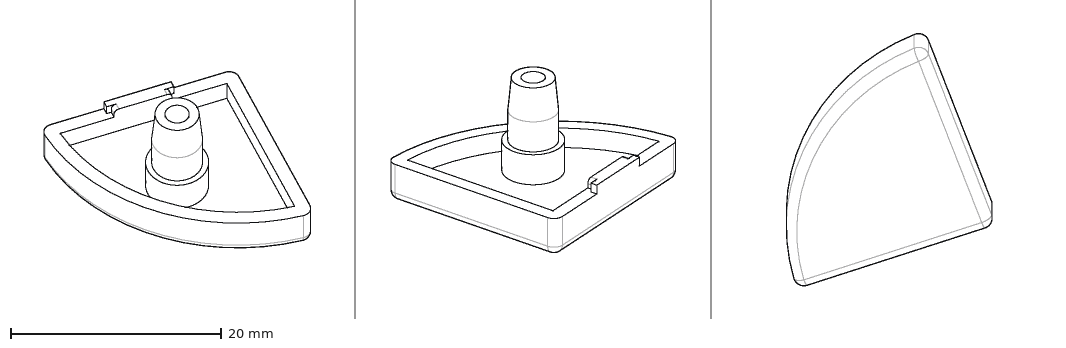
import cadquery as cq
import math

LEG_LENGTH = 20.0
ARC_CENTER_OFFSET = 0.5
OUTER_RADIUS = math.hypot(LEG_LENGTH + ARC_CENTER_OFFSET, ARC_CENTER_OFFSET)
WALL = 1.4
RIM_HEIGHT = 4.1
FLOOR_THICKNESS = 2.0
EDGE_RADIUS = 1.0
CORNER_X = -LEG_LENGTH / 2
CORNER_Y = LEG_LENGTH / 2

COLLAR_RADIUS = 3.0
COLLAR_TOP = 5.25
POST_RADIUS = 2.425
TAPER_START = 8.5
TIP_RADIUS = 2.1
POST_TOP = 12.0
BORE_RADIUS = 1.15

TAB_HEIGHT = 0.95
TAB_LENGTH = 6.9
TAB_THICKNESS = WALL / 2
TAB_STEP_LENGTH = 5.95
TAB_STEP_RADIUS = 0.5


def quarter_round(inset, bottom, top):
    """Quarter disc prism whose three sides are moved inward by inset."""
    radius = OUTER_RADIUS - inset
    reach = math.sqrt(radius**2 - (ARC_CENTER_OFFSET + inset) ** 2) - ARC_CENTER_OFFSET
    middle = radius * math.sqrt(0.5) - ARC_CENTER_OFFSET
    return (
        cq.Workplane("XY", origin=(CORNER_X, CORNER_Y, bottom))
        .moveTo(inset, -inset)
        .lineTo(reach, -inset)
        .threePointArc((middle, -middle), (inset, -reach))
        .close()
        .extrude(top - bottom)
    )


def make_tray():
    body = quarter_round(0, 0, RIM_HEIGHT)
    body = body.edges("|Z").fillet(EDGE_RADIUS)
    body = body.faces("<Z").edges().fillet(EDGE_RADIUS)
    return body.cut(quarter_round(WALL, FLOOR_THICKNESS, RIM_HEIGHT))


def make_post():
    """Collar, straight shank and tapered tip as one revolved profile."""
    return (
        cq.Workplane("XZ")
        .moveTo(0, FLOOR_THICKNESS)
        .lineTo(COLLAR_RADIUS, FLOOR_THICKNESS)
        .lineTo(COLLAR_RADIUS, COLLAR_TOP)
        .lineTo(POST_RADIUS, COLLAR_TOP)
        .lineTo(POST_RADIUS, TAPER_START)
        .lineTo(TIP_RADIUS, POST_TOP)
        .lineTo(0, POST_TOP)
        .close()
        .revolve(360, (0, 0, 0), (0, 1, 0))
    )


def make_bore():
    """Blind bore from the tip of the post down to floor level."""
    depth = POST_TOP - FLOOR_THICKNESS
    return cq.Workplane("XY", origin=(0, 0, FLOOR_THICKNESS)).circle(BORE_RADIUS).extrude(depth)


def make_tab():
    """Long outer strip flush with the wall, and a shorter inner strip with rounded ends."""
    centered_along_y = (False, True, False)
    outer = (
        cq.Workplane("XY", origin=(CORNER_X, 0, RIM_HEIGHT))
        .box(TAB_THICKNESS, TAB_LENGTH, TAB_HEIGHT, centered=centered_along_y)
    )
    inner = (
        cq.Workplane("XY", origin=(CORNER_X + TAB_THICKNESS, 0, RIM_HEIGHT))
        .box(WALL - TAB_THICKNESS, TAB_STEP_LENGTH, TAB_HEIGHT, centered=centered_along_y)
        .faces(">Z")
        .edges("|X")
        .fillet(TAB_STEP_RADIUS)
    )
    return outer.union(inner)


result = make_tray().union(make_post()).union(make_tab()).cut(make_bore())